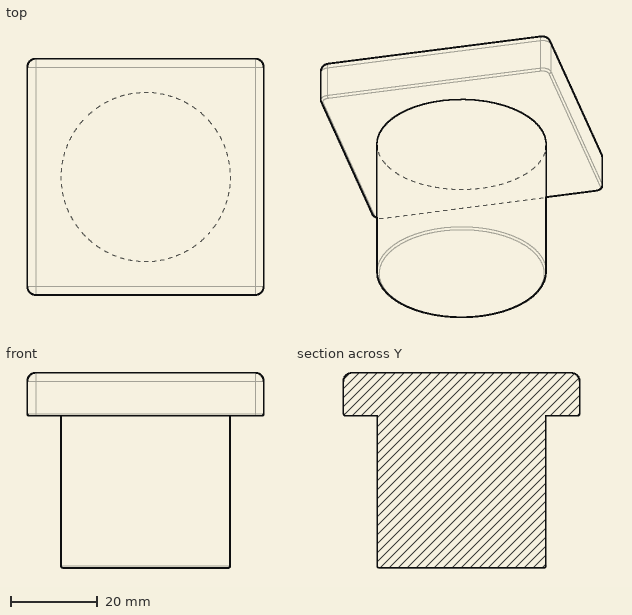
import cadquery as cq

head_width = 54.5
head_height = 10.0
head_rounding = 2.0

total_height = 45.0
stem_diameter = 39.0
stem_length = total_height - head_height

lower_edge_rounding = 0.5


def make_head():
    """Square plate with rounded corners and top, and a lightly rounded bottom edge."""
    head = cq.Workplane("XY").workplane(offset=stem_length)
    head = head.rect(head_width, head_width).extrude(head_height)
    head = head.edges("|Z or >Z").fillet(head_rounding)
    return head.faces("<Z").edges().fillet(lower_edge_rounding)


def make_stem():
    """Solid cylinder with a small rounding around its free end."""
    stem = cq.Workplane("XY").circle(stem_diameter / 2).extrude(stem_length)
    return stem.faces("<Z").edges().fillet(lower_edge_rounding)


result = make_head().union(make_stem())